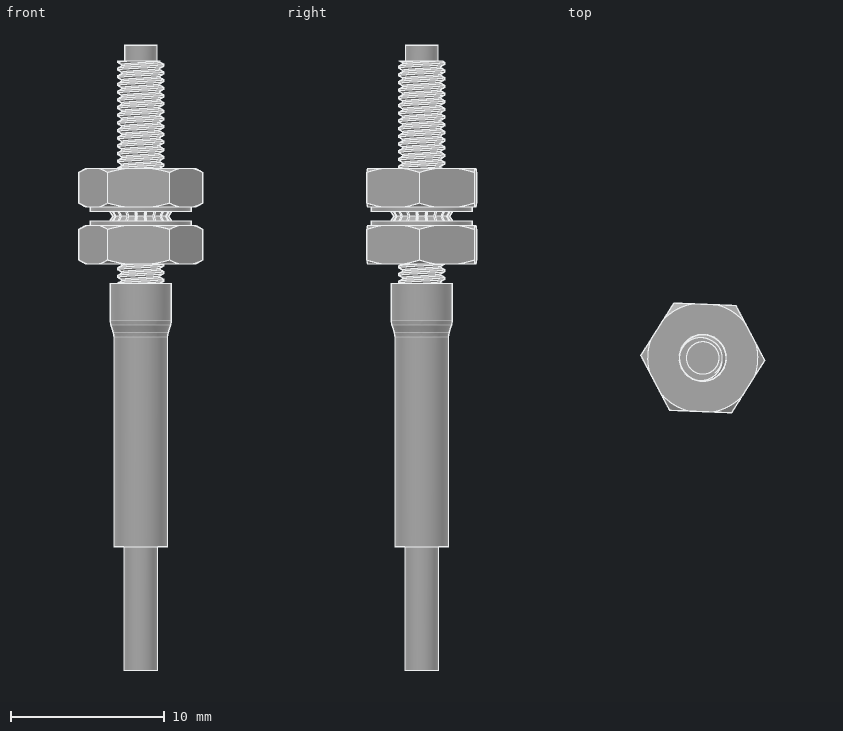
import cadquery as cq
import math

total_height = 40.7
sleeve_bottom = 8.05
neck_bottom = 21.85
neck_top = 22.62
collar_top = 25.2
thread_top = 39.67

cable_radius = 1.1
tip_radius = 1.05
sleeve_radius = 1.75
collar_radius = 2.0
neck_round = 1.0

root_radius = 1.25
crest_radius = 1.5
thread_length = thread_top - collar_top
thread_turns = 29
pitch = thread_length / thread_turns
ridge_base_width = 0.45
ridge_crest_width = 0.12
ridge_sink = 0.05
thread_start_angle = 30

across_flats = 7.0
hex_angle = -2.3
hex_height = 2.52
chamfer_radius = 3.6
chamfer_slope = math.radians(30)
flange_radius = 3.3
flange_height = 0.3
nut_gap = 0.6
lower_nut_bottom = 26.45
waist_end_radius = 2.05
waist_radius = 1.85
bore_clearance = 0.02
tooth_count = 20
tooth_slot_width = 0.12

corner_radius = across_flats / math.sqrt(3)
flange_top = lower_nut_bottom + hex_height + flange_height
nut_pair_middle = flange_top + nut_gap / 2
upper_nut_top = 2 * nut_pair_middle - lower_nut_bottom


def cylinder(radius, bottom, top):
    return cq.Workplane("XY").workplane(offset=bottom).circle(radius).extrude(top - bottom)


def threaded_shank():
    """Core with a helical ridge, both made overlong and then trimmed to the threaded length."""
    helix = cq.Wire.makeHelix(pitch, thread_length + pitch, root_radius)
    ridge_inner = root_radius - ridge_sink
    ridge = (
        cq.Workplane("XZ")
        .polyline([
            (ridge_inner, -ridge_base_width / 2),
            (crest_radius, -ridge_crest_width / 2),
            (crest_radius, ridge_crest_width / 2),
            (ridge_inner, ridge_base_width / 2),
        ])
        .close()
        .sweep(cq.Workplane(obj=helix), isFrenet=True)
        .rotate((0, 0, 0), (0, 0, 1), thread_start_angle)
        .translate((0, 0, collar_top - pitch / 2))
    )
    core = cylinder(root_radius, collar_top - 2 * pitch, thread_top + 2 * pitch)
    return core.union(ridge).intersect(cylinder(2 * crest_radius, collar_top, thread_top))


def revolved(points):
    """Solid of revolution about Z from (radius, height) points."""
    return cq.Workplane("XZ").polyline(points).close().revolve(360, (0, 0), (0, 1))


def make_sleeve():
    """Sleeve with a wider collar on top and a softened conical neck between them."""
    sleeve = revolved([
        (0, sleeve_bottom),
        (sleeve_radius, sleeve_bottom),
        (sleeve_radius, neck_bottom),
        (collar_radius, neck_top),
        (collar_radius, collar_top),
        (0, collar_top),
    ])
    return sleeve.faces("%CONE").edges("%CIRCLE").fillet(neck_round)


def make_rod():
    """Cable, sleeve, threaded shank and plain tip in one piece."""
    cable = cylinder(cable_radius, 0, sleeve_bottom)
    tip = cylinder(tip_radius, thread_top, total_height)
    return threaded_shank().union(make_sleeve()).union(cable).union(tip)


def make_nut():
    """Lower hexagon nut with chamfered corners and a round flange on top."""
    bottom = lower_nut_bottom
    top = bottom + hex_height
    chamfer_height = (corner_radius - chamfer_radius) * math.tan(chamfer_slope)
    hexagon = (
        cq.Workplane("XY")
        .workplane(offset=bottom)
        .polygon(6, 2 * corner_radius)
        .extrude(hex_height)
        .rotate((0, 0, 0), (0, 0, 1), hex_angle)
    )
    envelope = revolved([
        (0, bottom),
        (chamfer_radius, bottom),
        (corner_radius, bottom + chamfer_height),
        (corner_radius, top - chamfer_height),
        (chamfer_radius, top),
        (0, top),
    ])
    return hexagon.intersect(envelope).union(cylinder(flange_radius, top, flange_top))


def make_toothed_waist():
    """Narrow V-waisted ring between the flanges, split into teeth by radial slots."""
    waist = revolved([
        (0, flange_top),
        (waist_end_radius, flange_top),
        (waist_radius, nut_pair_middle),
        (waist_end_radius, flange_top + nut_gap),
        (0, flange_top + nut_gap),
    ])
    tooth_angle = 360 / tooth_count
    slot = (
        cq.Workplane("XY")
        .workplane(offset=flange_top)
        .rect(2 * flange_radius, tooth_slot_width)
        .extrude(nut_gap)
    )
    for index in range(tooth_count // 2):
        waist = waist.cut(slot.rotate((0, 0, 0), (0, 0, 1), (index + 0.5) * tooth_angle))
    return waist


def make_nut_pair():
    """Two mirrored nuts joined by the toothed waist, bored to pass over the thread crests."""
    lower = make_nut()
    upper = lower.mirror("XY", (0, 0, nut_pair_middle))
    bore = cylinder(crest_radius + bore_clearance, lower_nut_bottom, upper_nut_top)
    return lower.union(make_toothed_waist()).union(upper).cut(bore)


rod = make_rod()
nut_pair = make_nut_pair()
result = cq.Compound.makeCompound([rod.val(), nut_pair.val()])